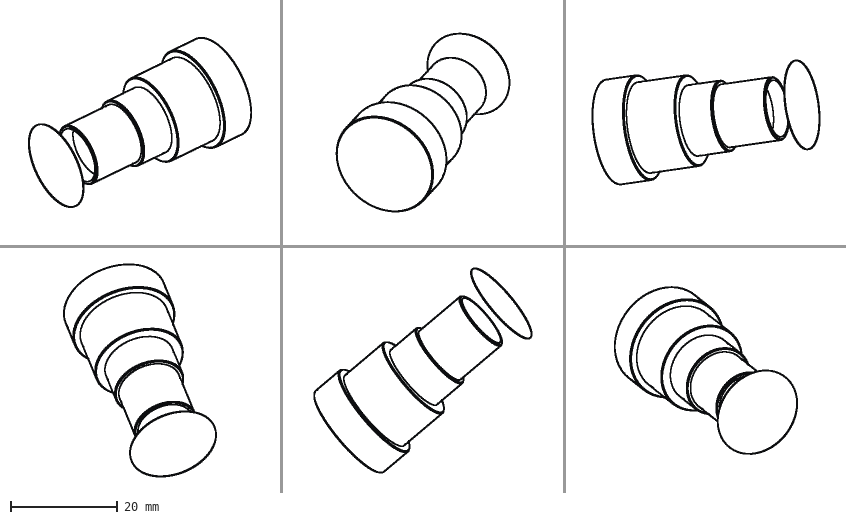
import cadquery as cq

HEAD_DIAMETER = 20.0
BODY_RADIUS = 8.65
NECK_RADIUS = 6.75
TIP_RADIUS = 6.0
HEAD_LENGTH = 6.52
BODY_LENGTH = 9.98
NECK_LENGTH = 6.68
TIP_LENGTH = 10.5
EDGE_CHAMFER = 0.2

BORE_RADIUS = 5.4
BORE_DEPTH = 3.0

DISC_RADIUS = 8.45
DISC_THICKNESS = 0.15
OVERALL_LENGTH = 38.82

TIP_END = HEAD_LENGTH + BODY_LENGTH + NECK_LENGTH + TIP_LENGTH


def cylinder_along_minus_y(radius, start, length):
    """Cylinder whose +Y face lies at y = -start, running toward -Y."""
    return cq.Workplane("XZ", origin=(0, -start, 0)).circle(radius).extrude(length)


def make_stepped_tube():
    head = cylinder_along_minus_y(HEAD_DIAMETER / 2, 0, HEAD_LENGTH)
    tube = head.edges().chamfer(EDGE_CHAMFER)
    start = HEAD_LENGTH
    stages = [(BODY_RADIUS, BODY_LENGTH), (NECK_RADIUS, NECK_LENGTH), (TIP_RADIUS, TIP_LENGTH)]
    for radius, length in stages:
        stage = cylinder_along_minus_y(radius, start, length)
        tube = tube.union(stage.faces("<Y").edges().chamfer(EDGE_CHAMFER))
        start += length

    bore = cylinder_along_minus_y(BORE_RADIUS, TIP_END - BORE_DEPTH, BORE_DEPTH)
    return tube.cut(bore)


def make_disc():
    return cylinder_along_minus_y(DISC_RADIUS, OVERALL_LENGTH - DISC_THICKNESS, DISC_THICKNESS)


stepped_tube = make_stepped_tube()
disc = make_disc()

result = cq.Compound.makeCompound([stepped_tube.val(), disc.val()])